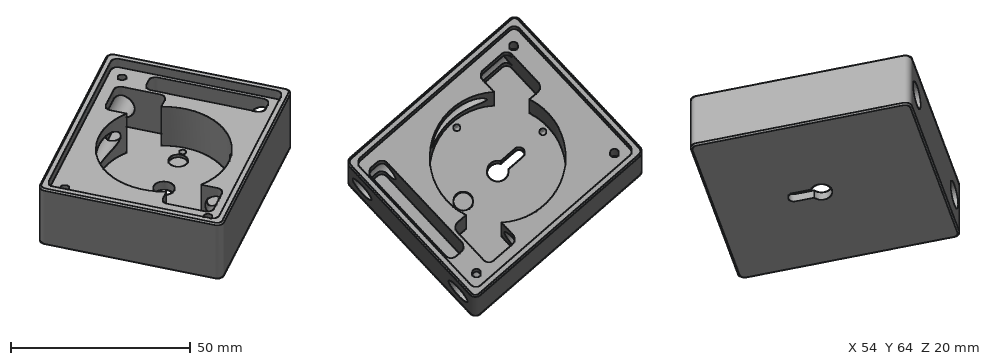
import cadquery as cq

LENGTH_X = 54.0
LENGTH_Y = 64.0
HEIGHT = 20.0
CORNER_RADIUS = 2.0
EDGE_CHAMFER = 0.5

RIM_WIDTH = 2.0
RECESS_DEPTH = 3.0
INNER_RADIUS = 2.0

FLOOR_THICKNESS = 3.0
CHAMBER_RADIUS = 19.0
CHAMBER_Y = -1.0
POCKET_LENGTH = 15.0
POCKET_WIDTH = 11.0
POCKET_OFFSET_X = 14.0
POCKET_OFFSET_Y = 17.5

SLOT_LENGTH = 35.0
SLOT_WIDTH = 6.0
SLOT_Y = 26.0

SCREW_DIAMETER = 2.5
SCREW_X = 21.0
SCREW_Y = 26.0

KEYHOLE_DIAMETER = 6.0
KEYHOLE_NECK_WIDTH = 3.2
KEYHOLE_NECK_REACH = 8.0

DIMPLE_DIAMETER = 2.0
DIMPLE_DEPTH = 1.0
DIMPLE_CIRCLE_RADIUS = 17.0
SEAT_DIAMETER = 5.5
SEAT_DEPTH = 1.0
SEAT_OFFSET_Y = 13.0

BORE_RADIUS = 4.0
BORE_X = 20.0

recess_floor = HEIGHT - RECESS_DEPTH
cavity_depth = recess_floor - FLOOR_THICKNESS
bore_z = HEIGHT / 2
pocket_end_x = POCKET_OFFSET_X + POCKET_LENGTH / 2


def rounded_pocket(length, width, x, y, bottom, depth):
    """Cutter with a rounded rectangular outline, standing on the given bottom level."""
    block = cq.Workplane("XY").box(length, width, depth, centered=(True, True, False))
    return block.edges("|Z").fillet(INNER_RADIUS).translate((x, y, bottom))


def round_cutter(radius, x, y, bottom, depth):
    """Upright cylindrical cutter, standing on the given bottom level."""
    return cq.Workplane("XY", origin=(x, y, bottom)).circle(radius).extrude(depth)


def outer_block():
    block = cq.Workplane("XY").box(LENGTH_X, LENGTH_Y, HEIGHT, centered=(True, True, False))
    block = block.edges("|Z").fillet(CORNER_RADIUS)
    return block.faces("<Z or >Z").edges().chamfer(EDGE_CHAMFER)


def lid_recess():
    length = LENGTH_X - 2 * RIM_WIDTH
    width = LENGTH_Y - 2 * RIM_WIDTH
    return rounded_pocket(length, width, 0, 0, recess_floor, RECESS_DEPTH)


def chamber():
    """Round chamber joined with its two corner pockets."""
    cutter = round_cutter(CHAMBER_RADIUS, 0, CHAMBER_Y, FLOOR_THICKNESS, cavity_depth)
    for side in (1, -1):
        x = side * POCKET_OFFSET_X
        y = CHAMBER_Y - side * POCKET_OFFSET_Y
        pocket = rounded_pocket(POCKET_LENGTH, POCKET_WIDTH, x, y, FLOOR_THICKNESS, cavity_depth)
        cutter = cutter.union(pocket)
    return cutter


def long_slot():
    x = pocket_end_x - SLOT_LENGTH / 2
    return rounded_pocket(SLOT_LENGTH, SLOT_WIDTH, x, SLOT_Y, FLOOR_THICKNESS, cavity_depth)


def screw_holes():
    """Three holes reaching down to the level of the bore axes; the slot takes up the fourth corner."""
    corners = [(-SCREW_X, SCREW_Y), (-SCREW_X, -SCREW_Y), (SCREW_X, -SCREW_Y)]
    depth = recess_floor - bore_z
    bottom = cq.Workplane("XY", origin=(0, 0, bore_z))
    return bottom.pushPoints(corners).circle(SCREW_DIAMETER / 2).extrude(depth)


def keyhole():
    head = round_cutter(KEYHOLE_DIAMETER / 2, 0, CHAMBER_Y, 0, FLOOR_THICKNESS)
    neck_end_y = CHAMBER_Y - KEYHOLE_NECK_REACH
    neck_end = round_cutter(KEYHOLE_NECK_WIDTH / 2, 0, neck_end_y, 0, FLOOR_THICKNESS)
    neck = (
        cq.Workplane("XY", origin=(0, CHAMBER_Y - KEYHOLE_NECK_REACH / 2, 0))
        .rect(KEYHOLE_NECK_WIDTH, KEYHOLE_NECK_REACH)
        .extrude(FLOOR_THICKNESS)
    )
    return head.union(neck).union(neck_end)


def dimples():
    """Four cones, point down, evenly spaced around the chamber floor."""
    cutters = cq.Workplane("XY")
    tip_z = FLOOR_THICKNESS - DIMPLE_DEPTH
    for along_x, along_y in ((1, 0), (0, 1), (-1, 0), (0, -1)):
        x = along_x * DIMPLE_CIRCLE_RADIUS
        y = CHAMBER_Y + along_y * DIMPLE_CIRCLE_RADIUS
        tip = cq.Vector(x, y, tip_z)
        cutters = cutters.add(cq.Solid.makeCone(0, DIMPLE_DIAMETER / 2, DIMPLE_DEPTH, pnt=tip))
    return cutters.combine()


def floor_seat():
    y = CHAMBER_Y + SEAT_OFFSET_Y
    return round_cutter(SEAT_DIAMETER / 2, 0, y, FLOOR_THICKNESS - SEAT_DEPTH, SEAT_DEPTH)


def side_bores():
    """Mirrored pair of bores ending level with the -Y wall of the +X corner pocket."""
    start_y = LENGTH_Y / 2
    end_y = CHAMBER_Y - POCKET_OFFSET_Y - POCKET_WIDTH / 2
    return (
        cq.Workplane("XZ", origin=(0, start_y, bore_z))
        .pushPoints([(-BORE_X, 0), (BORE_X, 0)])
        .circle(BORE_RADIUS)
        .extrude(start_y - end_y)
    )


result = outer_block()
for cutter in (
    lid_recess(),
    chamber(),
    long_slot(),
    screw_holes(),
    keyhole(),
    dimples(),
    floor_seat(),
    side_bores(),
):
    result = result.cut(cutter)